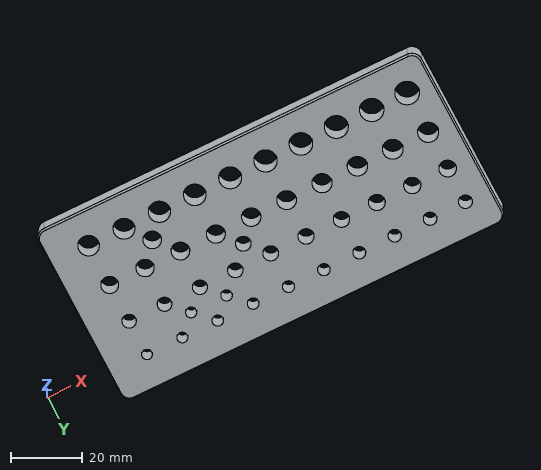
import cadquery as cq

plate_length = 120.0
plate_width = 56.0
plate_height = 7.0
corner_radius = 3.0
foot_height = 1.0
foot_inset = 0.4

row_count = 4
column_count = 10
smallest_diameter = 3.0
steps_to_double = 30
size_step = smallest_diameter / steps_to_double
first_column_x = -48.0
last_column_x = 52.0
column_pitch = (last_column_x - first_column_x) / (column_count - 1)
row_gap_base = 8.0
edge_to_first_row = 10.0

half_step_holes = [(0, 1), (0, 2), (1, 3), (2, 1)]


def hole_diameter(row, column):
    """Diameter for a place in the size sequence; column may be fractional."""
    return smallest_diameter + (row * column_count + column) * size_step


def column_x(column):
    return first_column_x + column * column_pitch


def row_positions():
    """Y of every row, from the +Y edge down, wider apart as the holes grow."""
    positions = [plate_width / 2 - edge_to_first_row]
    for row in range(row_count - 1):
        positions.append(positions[-1] - row_gap_base - hole_diameter(row, 0))
    return positions


def make_plate():
    plate = (
        cq.Workplane("XY")
        .box(plate_length, plate_width, plate_height, centered=(True, True, False))
        .edges("|Z")
        .fillet(corner_radius)
    )
    return plate.faces("<Z").edges().chamfer(foot_height, foot_inset)


def make_pin(x, y, diameter):
    """Cylinder that cuts one through hole."""
    return cq.Workplane("XY").center(x, y).circle(diameter / 2).extrude(plate_height)


def cut_grid_holes(body):
    for row, y in enumerate(row_positions()):
        for column in range(column_count):
            body = body.cut(make_pin(column_x(column), y, hole_diameter(row, column)))
    return body


def cut_half_step_holes(body):
    """Each hole sits midway between two rows and two columns."""
    rows = row_positions()
    for row, column in half_step_holes:
        between = column + 0.5
        y = (rows[row] + rows[row + 1]) / 2
        body = body.cut(make_pin(column_x(between), y, hole_diameter(row, between)))
    return body


result = cut_half_step_holes(cut_grid_holes(make_plate()))